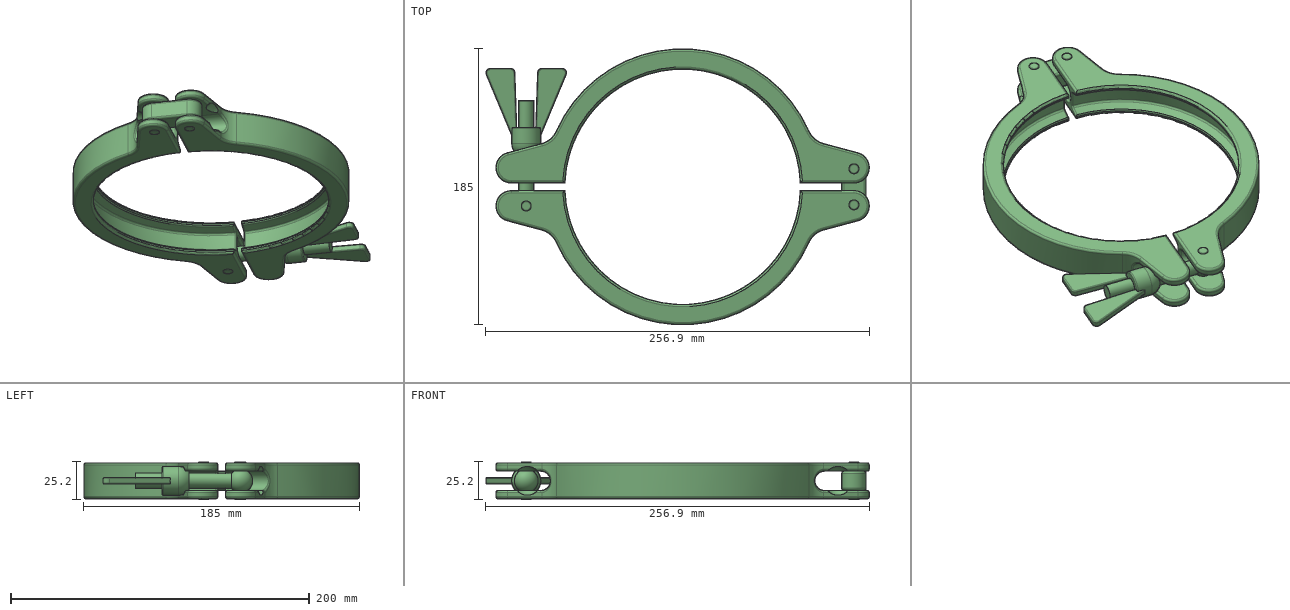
import cadquery as cq
import math

TOLERANCE = 0.13

RING_OUTER_R = 92.5
RING_INNER_R = 79.0
THICKNESS = 24.2
SPLIT_GAP = 5.1
EDGE_ROUND = 1.5

GROOVE_R = 85.8
GROOVE_DEPTH = GROOVE_R - RING_INNER_R
GROOVE_BOTTOM_HALF = 6.2
GROOVE_FLANK_ANGLE = 20.0
GROOVE_MOUTH_HALF = GROOVE_BOTTOM_HALF + GROOVE_DEPTH * math.tan(math.radians(GROOVE_FLANK_ANGLE))
GROOVE_ROUND = 1.5
GROOVE_RIM_ROUND = 1.0

EAR_TIP_R = 10.3
EAR_TIP_X = 114.8
EAR_TIP_Y = SPLIT_GAP / 2 + EAR_TIP_R
EAR_SLOPE_ANGLE = 15.0
EAR_BLEND_R = 15.0

SLOT_HEIGHT = 12.8
SLOT_END_X = 88.6

BOLT_X = -104.8
BOLT_R = 5.1
BOLT_TOP_Y = 57.8
EYE_Y = -EAR_TIP_Y
EYE_R = 8.0

NUT_R = 9.8
NUT_SEAT_Y = 29.0
SEAT_R = 10.0
NUT_TOP_Y = 39.8
NUT_BOTTOM_Y = 21.8
NUT_EDGE_ROUND = 0.8

WING_THICKNESS = 4.4
WING_TOP_Y = 79.5
WING_BOTTOM_Y = 34.0
WING_INNER_BOTTOM = 6.2
WING_INNER_TOP = 7.7
WING_OUTER_BOTTOM = 9.5
WING_OUTER_TOP = 28.5
WING_CORNER_R = 3.0

PIN_R = 3.3
PIN_LENGTH = 25.2
PIN_END_ROUND = 0.5
HINGE_X = EAR_TIP_X
HINGE_Y = 12.0
LINK_R = 8.2
LINK_EDGE_ROUND = 1.5


def pin(x, y):
    """Round pin along Z with rounded ends, standing slightly proud of the ears."""
    return (
        cq.Workplane("XY", origin=(x, y, -PIN_LENGTH / 2))
        .circle(PIN_R)
        .extrude(PIN_LENGTH)
        .edges("%CIRCLE")
        .fillet(PIN_END_ROUND)
    )


def pin_hole(x, y):
    """Through hole that fits a pin."""
    return cq.Workplane("XY", origin=(x, y, -PIN_LENGTH / 2)).circle(PIN_R).extrude(PIN_LENGTH)


def half_blank():
    """Plate outline of the +Y half: half ring, two ears and their blends."""
    slope = math.radians(EAR_SLOPE_ANGLE)
    normal = (math.sin(slope), math.cos(slope))
    along = (math.cos(slope), -math.sin(slope))
    side_offset = EAR_TIP_X * normal[0] + EAR_TIP_Y * normal[1] + EAR_TIP_R
    tip_end = (EAR_TIP_X + EAR_TIP_R * normal[0], EAR_TIP_Y + EAR_TIP_R * normal[1])
    reach = RING_OUTER_R + EAR_BLEND_R
    across = side_offset + EAR_BLEND_R
    run = math.sqrt(reach**2 - across**2)
    blend = [across * n + run * a for n, a in zip(normal, along)]
    blend_start = [b - EAR_BLEND_R * n for b, n in zip(blend, normal)]
    blend_end = [b * RING_OUTER_R / reach for b in blend]

    split_y = SPLIT_GAP / 2
    inner_x = math.sqrt(RING_INNER_R**2 - split_y**2)
    return (
        cq.Workplane("XY", origin=(0, 0, -THICKNESS / 2))
        .moveTo(inner_x, split_y)
        .lineTo(EAR_TIP_X, split_y)
        .tangentArcPoint(tip_end, relative=False)
        .lineTo(*blend_start)
        .tangentArcPoint(blend_end, relative=False)
        .threePointArc((0, RING_OUTER_R), (-blend_end[0], blend_end[1]))
        .tangentArcPoint((-blend_start[0], blend_start[1]), relative=False)
        .lineTo(-tip_end[0], tip_end[1])
        .tangentArcPoint((-EAR_TIP_X, split_y), relative=False)
        .lineTo(-inner_x, split_y)
        .threePointArc((0, RING_INNER_R), (inner_x, split_y))
        .close()
        .extrude(THICKNESS)
        .faces("<Z or >Z")
        .edges()
        .fillet(EDGE_ROUND)
    )


def ear_slot(side):
    """Slot through an ear along Y, with a round inner end; side is +1 or -1 in X."""
    end_r = SLOT_HEIGHT / 2
    round_x = SLOT_END_X + end_r
    open_x = EAR_TIP_X + 2 * EAR_TIP_R
    return (
        cq.Workplane("XZ")
        .moveTo(side * open_x, end_r)
        .lineTo(side * round_x, end_r)
        .threePointArc((side * SLOT_END_X, 0), (side * round_x, -end_r))
        .lineTo(side * open_x, -end_r)
        .close()
        .extrude(-RING_OUTER_R)
    )


def slot_mouth(side):
    """Selects the rim of an ear slot, leaving out the straight lines inside the slot."""
    reach = SLOT_HEIGHT / 2 + TOLERANCE
    rim = cq.selectors.BoxSelector(
        (side * (SLOT_END_X - TOLERANCE), -RING_OUTER_R, -reach),
        (side * (EAR_TIP_X + 2 * EAR_TIP_R), RING_OUTER_R, reach),
    )
    return rim - cq.selectors.ParallelDirSelector(cq.Vector(0, 1, 0))


def inner_groove():
    """V-shaped groove around the inside of the ring."""
    return (
        cq.Workplane("XZ")
        .moveTo(0, GROOVE_MOUTH_HALF)
        .lineTo(RING_INNER_R, GROOVE_MOUTH_HALF)
        .lineTo(GROOVE_R, GROOVE_BOTTOM_HALF)
        .lineTo(GROOVE_R, -GROOVE_BOTTOM_HALF)
        .lineTo(RING_INNER_R, -GROOVE_MOUTH_HALF)
        .lineTo(0, -GROOVE_MOUTH_HALF)
        .close()
        .revolve(360, (0, 0, 0), (0, 1, 0))
        .edges(cq.selectors.RadiusNthSelector(-1))
        .fillet(GROOVE_ROUND)
    )


def groove_rim():
    """Selects the groove's two lips and its outline on the split faces."""
    reach = GROOVE_MOUTH_HALF + TOLERANCE
    split_y = SPLIT_GAP / 2
    ends = cq.selectors.BoxSelector(
        (-GROOVE_R - TOLERANCE, split_y - TOLERANCE, -reach),
        (GROOVE_R + TOLERANCE, split_y + TOLERANCE, reach),
    )
    lips = [
        cq.selectors.BoxSelector(
            (-RING_INNER_R, split_y + TOLERANCE, z - TOLERANCE),
            (RING_INNER_R, RING_INNER_R + TOLERANCE, z + TOLERANCE),
        )
        for z in (GROOVE_MOUTH_HALF, -GROOVE_MOUTH_HALF)
    ]
    return ends + lips[0] + lips[1]


def clamp_half():
    """The +Y half without pin holes: slotted ears, inner groove and nut seats."""
    half = half_blank()
    for side in (1, -1):
        half = half.cut(ear_slot(side))
        half = half.edges(slot_mouth(side)).fillet(EDGE_ROUND)
    half = half.cut(inner_groove())
    half = half.edges(groove_rim()).fillet(GROOVE_RIM_ROUND)
    for x in (BOLT_X, -BOLT_X):
        half = half.cut(cq.Workplane("XY", origin=(x, NUT_SEAT_Y, 0)).sphere(SEAT_R))
    return half


def hinge_link():
    """Stadium-shaped link between the hinge pins, together with both pins."""
    link = (
        cq.Workplane("XY", origin=(HINGE_X, 0, -SLOT_HEIGHT / 2))
        .slot2D(2 * (HINGE_Y + LINK_R), 2 * LINK_R, 90)
        .extrude(SLOT_HEIGHT)
        .faces("<Z or >Z")
        .edges()
        .fillet(LINK_EDGE_ROUND)
    )
    for y in (HINGE_Y, -HINGE_Y):
        link = link.union(pin(HINGE_X, y))
    return link


def wing(side):
    """One flat wing of the nut; side is +1 or -1 in X."""
    corners = [
        (WING_INNER_BOTTOM, WING_BOTTOM_Y),
        (WING_OUTER_BOTTOM, WING_BOTTOM_Y),
        (WING_OUTER_TOP, WING_TOP_Y),
        (WING_INNER_TOP, WING_TOP_Y),
    ]
    return (
        cq.Workplane("XY", origin=(BOLT_X, 0, -WING_THICKNESS / 2))
        .polyline([(side * x, y) for x, y in corners])
        .close()
        .extrude(WING_THICKNESS)
        .edges("|Z and >Y")
        .fillet(WING_CORNER_R)
        .faces("<Z or >Z")
        .edges()
        .fillet(NUT_EDGE_ROUND)
    )


def wing_nut():
    """Round nut with a truncated spherical seat and two wings."""
    seat_depth = NUT_SEAT_Y - NUT_BOTTOM_Y
    flat_r = math.sqrt(NUT_R**2 - seat_depth**2)
    mid_depth = seat_depth / 2
    mid_r = math.sqrt(NUT_R**2 - mid_depth**2)
    nut = (
        cq.Workplane("XY", origin=(BOLT_X, 0, 0))
        .moveTo(0, NUT_BOTTOM_Y)
        .lineTo(flat_r, NUT_BOTTOM_Y)
        .threePointArc((mid_r, NUT_SEAT_Y - mid_depth), (NUT_R, NUT_SEAT_Y))
        .lineTo(NUT_R, NUT_TOP_Y)
        .lineTo(0, NUT_TOP_Y)
        .close()
        .revolve(360, (0, 0, 0), (0, 1, 0))
        .faces(">Y")
        .edges()
        .fillet(NUT_EDGE_ROUND)
    )
    for side in (1, -1):
        nut = nut.union(wing(side))
    return nut


def eye_bolt():
    """Bolt with ball eye, cross pin and wing nut."""
    shank = cq.Workplane("XZ", origin=(BOLT_X, EYE_Y, 0)).circle(BOLT_R).extrude(EYE_Y - BOLT_TOP_Y)
    center = cq.Workplane("XY", origin=(BOLT_X, EYE_Y, 0))
    eye = center.sphere(EYE_R).intersect(center.box(2 * EYE_R, 2 * EYE_R, SLOT_HEIGHT))
    return shank.union(eye).union(pin(BOLT_X, EYE_Y)).union(wing_nut())


upper_half = clamp_half().cut(pin_hole(HINGE_X, HINGE_Y))
lower_half = clamp_half().mirror("XZ").cut(pin_hole(BOLT_X, EYE_Y)).union(hinge_link())
bolt = eye_bolt()

result = cq.Compound.makeCompound([upper_half.val(), lower_half.val(), bolt.val()])